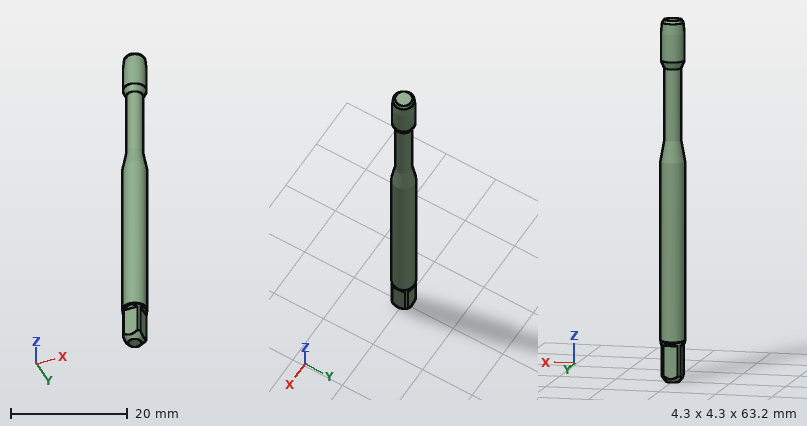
import cadquery as cq
import math

total_length = 63.2
drive_tip_height = 1.2
flat_top = 6.45
shank_bottom = 7.1
shank_chamfer_top = 7.2
shank_top = 38.4
neck_bottom = 42.1
neck_top = 54.7
head_bottom = 56.05
lead_bottom = 60.85
lead_top = 62.7

shank_diameter = 4.3
neck_diameter = 3.0
head_diameter = 4.1
lead_diameter = 3.7
tip_diameter = 3.0

neck_blend_radius = 1.0

drive_width = 3.35
drive_corner_diameter = 4.2
drive_end_diameter = 2.3
runout_angle = 40


def turned(stations):
    """Solid of revolution about Z through (diameter, height) stations."""
    outline = [(diameter / 2, height) for diameter, height in stations]
    bottom = stations[0][1]
    top = stations[-1][1]
    points = [(0, bottom)] + outline + [(0, top)]
    return cq.Workplane("XZ").polyline(points).close().revolve(360, (0, 0), (0, 1))


def make_body():
    """Shank, tapered neck and head, with a small chamfer above the drive."""
    body = turned([
        (drive_corner_diameter, shank_bottom),
        (shank_diameter, shank_chamfer_top),
        (shank_diameter, shank_top),
        (neck_diameter, neck_bottom),
        (neck_diameter, neck_top),
        (head_diameter, head_bottom),
        (head_diameter, lead_bottom),
        (lead_diameter, lead_top),
        (tip_diameter, total_length),
    ])
    taper_start = cq.selectors.NearestToPointSelector((0, 0, neck_bottom))
    return body.edges("%CIRCLE").edges(taper_start).fillet(neck_blend_radius)


def make_drive():
    """Round bar with a conical end, milled to a square whose flats slope out to the shank."""
    bar = turned([
        (drive_end_diameter, 0),
        (drive_corner_diameter, drive_tip_height),
        (drive_corner_diameter, shank_bottom),
    ])
    runout_height = shank_bottom - flat_top
    runout_width = drive_width + 2 * runout_height * math.tan(math.radians(runout_angle))
    square = cq.Workplane("XY").rect(drive_width, drive_width).extrude(flat_top)
    runout = (
        cq.Workplane("XY", origin=(0, 0, flat_top))
        .rect(drive_width, drive_width)
        .workplane(offset=runout_height)
        .rect(runout_width, runout_width)
        .loft(ruled=True)
    )
    return bar.intersect(square.union(runout))


result = make_body().union(make_drive())